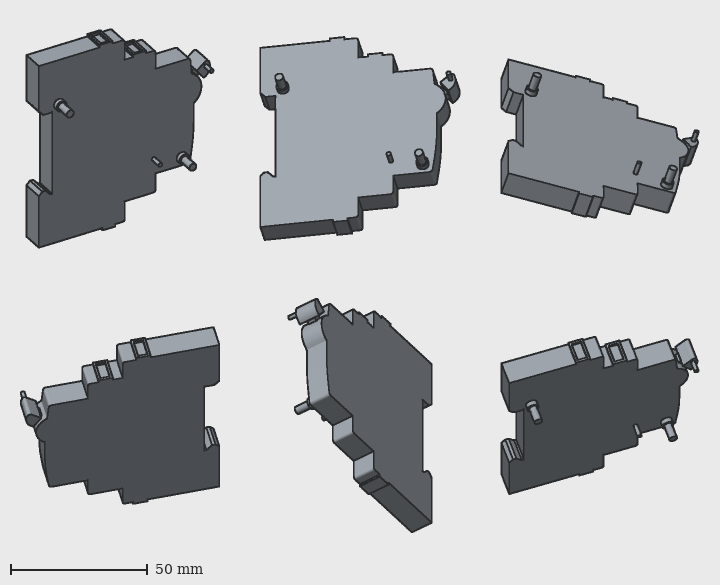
import math

import cadquery as cq


body_width = 9.0
base_top = 39.0
middle_top = 30.45
nose_top = 22.5
base_depth = 36.45
middle_depth = 49.5
face_depth = 65.7
upper_nose_depth = 64.2
upper_face_depth = 64.85
step_fillet = 1.0
face_fillet = 1.2

bend_start_z = -5.5
bend_end_z = -16.0
face_lean = math.radians(8.0)
bend_radius = (bend_start_z - bend_end_z) / math.sin(face_lean)
bend_end_depth = face_depth - bend_radius * (1 - math.cos(face_lean))
lower_nose_depth = bend_end_depth - (nose_top + bend_end_z) * math.tan(face_lean)

dome_radius = 7.5
dome_y = 61.5
dome_z = 8.9
dome_edge_fillet = 0.8

notch_depth = 5.7
notch_top = 17.4
notch_bottom = -17.65
upper_chamfer = 1.9
hook_top = -15.4
hook_chamfer = 1.5
hook_flat_end = 2.8
hook_root = 4.9

pad_height = 1.0
pad_length = 5.45
window_border = 0.95
window_depth = 1.0
upper_pads = ((25.85, base_top), (40.05, middle_top))
lower_pad_start = 27.05

lever_x_start = 0.25
lever_x_end = 8.95
lever_heel_upper = (67.0, 16.15)
lever_heel_lower = (69.98, 12.2)
lever_tip_back = (70.7, 19.05)
lever_tip_peak = (71.45, 19.2)
lever_tip_front = (72.2, 18.6)
lever_belly = (72.53, 15.3)
stem_width = 3.5
stem_x_start = 2.7
stem_upper_line = ((67.15, 15.5), (65.6, 14.3))
stem_lower_line = ((69.5, 12.65), (67.0, 11.5))
stem_overlap = 0.3

coupling_places = ((8.55, 20.1), (60.6, -18.95))
collar_diameter = 4.35
collar_length = 2.0
collar_end = body_width + collar_length
coupling_diameter = 3.0
coupling_end = 17.1
thin_pin_diameter = 1.6
lever_pin_place = (70.9, 17.0)
lever_pin_end = 13.1
trip_pin_place = (48.7, -16.0)
trip_pin_end = 13.85


def dome_half_height(depth):
    """Half the dome's chord along Z at the given Y."""
    return math.sqrt(dome_radius**2 - (depth - dome_y) ** 2)


def make_body():
    body = (
        cq.Workplane("YZ")
        .moveTo(0, -base_top)
        .lineTo(base_depth, -base_top)
        .lineTo(base_depth, -middle_top)
        .lineTo(middle_depth, -middle_top)
        .lineTo(middle_depth, -nose_top)
        .lineTo(lower_nose_depth, -nose_top)
        .lineTo(bend_end_depth, bend_end_z)
        .threePointArc(
            (
                face_depth - bend_radius * (1 - math.cos(face_lean / 2)),
                bend_start_z - bend_radius * math.sin(face_lean / 2),
            ),
            (face_depth, bend_start_z),
        )
        .lineTo(face_depth, dome_z - dome_half_height(face_depth))
        .threePointArc(
            (dome_y + dome_radius, dome_z),
            (upper_face_depth, dome_z + dome_half_height(upper_face_depth)),
        )
        .lineTo(upper_nose_depth, nose_top)
        .lineTo(middle_depth, nose_top)
        .lineTo(middle_depth, middle_top)
        .lineTo(base_depth, middle_top)
        .lineTo(base_depth, base_top)
        .lineTo(0, base_top)
        .lineTo(0, notch_top + upper_chamfer)
        .lineTo(upper_chamfer, notch_top)
        .lineTo(notch_depth, notch_top)
        .lineTo(notch_depth, notch_bottom)
        .lineTo(hook_root, notch_bottom)
        .lineTo(hook_flat_end, hook_top)
        .lineTo(hook_chamfer, hook_top)
        .lineTo(0, hook_top - hook_chamfer)
        .close()
        .extrude(body_width)
    )
    step_corners = (
        (base_depth, -base_top),
        (middle_depth, -middle_top),
        (middle_depth, middle_top),
        (base_depth, base_top),
    )
    face_corners = ((lower_nose_depth, -nose_top), (upper_nose_depth, nose_top))
    dome_corners = (
        (face_depth, dome_z - dome_half_height(face_depth)),
        (upper_face_depth, dome_z + dome_half_height(upper_face_depth)),
    )
    body = round_corners(body, step_corners, step_fillet)
    body = round_corners(body, face_corners, face_fillet)
    return round_corners(body, dome_corners, dome_edge_fillet)


def round_corners(body, corners, radius):
    """Fillet the edges along X that pass through the given (Y, Z) corners."""
    for y, z in corners:
        edge = cq.selectors.NearestToPointSelector((body_width / 2, y, z))
        body = body.edges("|X").edges(edge).fillet(radius)
    return body


def x_box(x_size, y_size, z_size, corner):
    """Box with its lowest X, Y, Z corner at the given point."""
    return cq.Workplane("XY").box(x_size, y_size, z_size, centered=False).translate(corner)


def add_terminal_pads(body):
    for start_y, step_z in upper_pads:
        pad = x_box(body_width, pad_length, pad_height, (0, start_y, step_z))
        window = x_box(
            body_width - 2 * window_border,
            pad_length - 2 * window_border,
            window_depth,
            (window_border, start_y + window_border, step_z + pad_height - window_depth),
        )
        body = body.union(pad).cut(window)
    lower_pad = x_box(body_width, pad_length, pad_height, (0, lower_pad_start, -base_top - pad_height))
    return body.union(lower_pad)


def make_lever():
    grip = (
        cq.Workplane("YZ", origin=(lever_x_start, 0, 0))
        .moveTo(*lever_heel_lower)
        .lineTo(*lever_heel_upper)
        .lineTo(*lever_tip_back)
        .threePointArc(lever_tip_peak, lever_tip_front)
        .threePointArc(lever_belly, lever_heel_lower)
        .close()
        .extrude(lever_x_end - lever_x_start)
    )
    upper_start, upper_end = stem_upper_line
    lower_start, lower_end = stem_lower_line
    stem = (
        cq.Workplane("YZ", origin=(stem_x_start, 0, 0))
        .moveTo(*upper_end)
        .lineTo(*upper_start)
        .lineTo(upper_start[0] + stem_overlap, upper_start[1] + stem_overlap)
        .lineTo(lower_start[0] + stem_overlap, lower_start[1] + stem_overlap)
        .lineTo(*lower_start)
        .lineTo(*lower_end)
        .close()
        .extrude(stem_width)
    )
    return grip.union(stem)


def make_pin(place, diameter, start_x, end_x):
    return (
        cq.Workplane("YZ", origin=(start_x, 0, 0))
        .center(*place)
        .circle(diameter / 2)
        .extrude(end_x - start_x)
    )


def add_pins(part):
    for place in coupling_places:
        part = part.union(make_pin(place, collar_diameter, body_width, collar_end))
        part = part.union(make_pin(place, coupling_diameter, collar_end, coupling_end))
    part = part.union(make_pin(lever_pin_place, thin_pin_diameter, lever_x_end, lever_pin_end))
    return part.union(make_pin(trip_pin_place, thin_pin_diameter, body_width, trip_pin_end))


result = add_pins(add_terminal_pads(make_body()).union(make_lever()))